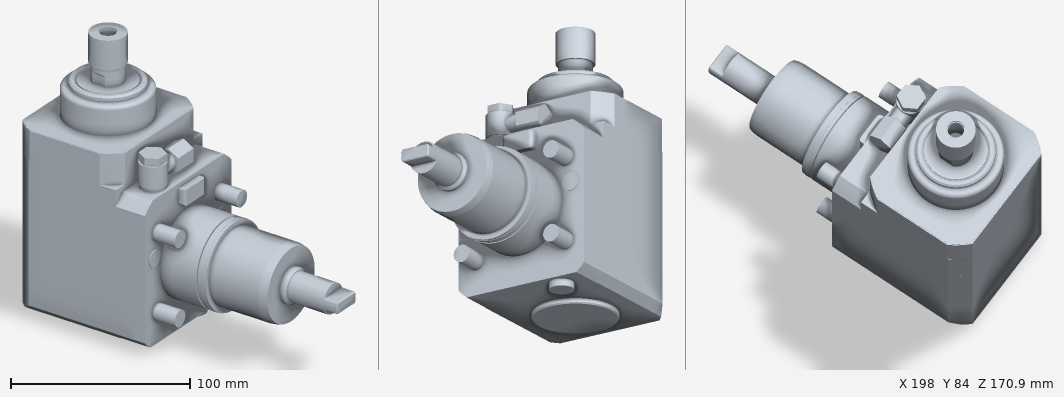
import cadquery as cq
import math


overall_length = 198.0

body_front = 35.0
body_end = 54.8
body_half_width = 42.0
body_top = 70.0
body_bottom = -45.0
ledge_top = 46.7
ledge_round_radius = 58.0
corner_round_radius = 48.3
corner_round_bottom = 50.3
corner_cut_x = 10.3
corner_cut_y = 8.7
bottom_chamfer = 5.0
pad_height = 0.2
pad_inset = 0.5

nose_radius = 27.0
nose_top = 88.5
nose_fillet = 2.4
collar_radius = 22.2
collar_neck_radius = 21.0
collar_bottom = 89.3
collar_top = 92.3
collar_chamfer = 1.0
recess_radius = 18.2
recess_depth = 1.2
recess_chamfer = 1.0
seal_radius = 17.6
seal_height = 0.5
neck_radius = 9.7
neck_top = 103.2
flat_offset = 8.7
flat_top = 98.2
flat_runout_height = 1.2
head_radius = 11.0
head_top = 121.8
bore_radius = 4.5
bore_mouth_radius = 5.1
bore_mouth_depth = 1.0
bore_depth = 15.8
cover_radius = 24.5
cover_bottom = -48.0
cover_chamfer = 0.8

pilot_radius = 27.5
pilot_end = 79.4
ring_radius = 27.3
groove_radius = 26.1
groove_end = 80.2
ring_middle_start = 82.2
ring_middle_end = 84.2
ring_end = 86.0
shank_radius = 24.0
shank_round_start = 119.5
shank_end = 125.0
shank_end_radius = 23.0
hub_radius = 11.0
hub_end = 128.7
hub_chamfer = 1.4
drive_radius = 9.3
drive_end = 153.6
tang_end = overall_length - body_front
tang_half_height = 3.8
tang_side_chamfer = 1.2
tang_end_chamfer = 0.5

screw_radius = 5.1
screw_y = 29.9
screw_z = 25.0
screw_end = 70.3
key_end = 59.5
key_half_width = 9.9
key_bottom = 33.7
key_top = 43.8
key_corner_radius = 2.0
key_bottom_chamfer = 1.0
plug_radius = 5.3
plug_y = 32.9
plug_z = 9.7
plug_height = 0.5

fitting_x = (body_front + body_end) / 2
fitting_y = 20.4
fitting_radius = 8.3
fitting_base_radius = 7.7
fitting_base_top = 49.1
fitting_hex_bottom = 62.8
fitting_top = 67.7
hex_across_flats = 14.0
stem_radius = 5.5
side_hex_z = (fitting_base_top + fitting_hex_bottom) / 2
side_hex_start = -5.7
side_hex_end = 9.3
bottom_plug_radius = 7.1
bottom_plug_bottom = -49.1

pin_hole_diameter = 0.5
pin_hole_depth = 1.0


def box(x0, x1, y0, y1, z0, z1):
    """Box between two opposite corners."""
    return cq.Workplane("XY").box(x1 - x0, y1 - y0, z1 - z0, centered=False).translate((x0, y0, z0))


def upright(radius, z0, z1, x=0, y=0):
    """Cylinder along Z."""
    return cq.Workplane("XY", origin=(x, y, z0)).circle(radius).extrude(z1 - z0)


def lying(radius, x0, x1, y=0, z=0):
    """Cylinder along X."""
    return cq.Workplane("YZ", origin=(x0, y, z)).circle(radius).extrude(x1 - x0)


def tall_block():
    width = body_half_width
    lower = box(-body_front, body_front, -width, width, body_bottom, corner_round_bottom)
    lower = lower.faces("<Z").edges("|X").chamfer(bottom_chamfer)
    slanted_corners = (
        cq.Workplane("XY", origin=(0, 0, body_bottom))
        .moveTo(body_front, -width)
        .lineTo(body_front, width)
        .lineTo(-body_front + corner_cut_x, width)
        .lineTo(-body_front, width - corner_cut_y)
        .lineTo(-body_front, -width + corner_cut_y)
        .lineTo(-body_front + corner_cut_x, -width)
        .close()
        .extrude(corner_round_bottom - body_bottom)
    )
    upper = box(-body_front, body_front, -width, width, corner_round_bottom, body_top - pad_height)
    upper = upper.intersect(upright(corner_round_radius, corner_round_bottom, body_top))
    upper = upper.faces(">Z").wires().toPending().offset2D(-pad_inset).extrude(pad_height)
    return lower.intersect(slanted_corners).union(upper)


def ledge():
    section = box(body_front, body_end, -body_half_width, body_half_width, body_bottom, ledge_top)
    return section.intersect(lying(ledge_round_radius, body_front, body_end))


def spindle():
    nose = upright(nose_radius, body_top, nose_top).faces(">Z").edges().fillet(nose_fillet)
    collar = upright(collar_radius, collar_bottom, collar_top)
    collar = collar.cut(upright(recess_radius, collar_top - recess_depth, collar_top))
    rims = collar.faces(">Z").edges()
    collar = rims.edges(cq.selectors.RadiusNthSelector(1)).chamfer(collar_chamfer)
    collar = collar.faces(">Z").edges(cq.selectors.RadiusNthSelector(0)).chamfer(recess_chamfer)
    collar = collar.union(upright(collar_neck_radius, nose_top, collar_bottom))
    seal_bottom = collar_top - recess_depth
    collar = collar.union(upright(seal_radius, seal_bottom, seal_bottom + seal_height))
    neck = upright(neck_radius, nose_top, neck_top)
    flat_cutter = (
        cq.Workplane("YZ")
        .moveTo(flat_offset, nose_top)
        .lineTo(neck_radius, nose_top)
        .lineTo(neck_radius, flat_top + flat_runout_height)
        .lineTo(flat_offset, flat_top)
        .close()
        .extrude(neck_radius, both=True)
    )
    neck = neck.cut(flat_cutter).cut(flat_cutter.mirror("XZ"))
    head = upright(head_radius, neck_top, head_top)
    head = head.cut(upright(bore_radius, head_top - bore_depth, head_top))
    head = head.cut(upright(bore_mouth_radius, head_top - bore_mouth_depth, head_top))
    return nose.union(collar).union(neck).union(head)


def bottom_cover():
    return upright(cover_radius, cover_bottom, body_bottom).faces("<Z").edges().chamfer(cover_chamfer)


def shank():
    outline = (
        cq.Workplane("XZ")
        .moveTo(body_end, 0)
        .lineTo(body_end, pilot_radius)
        .lineTo(pilot_end, pilot_radius)
        .lineTo(pilot_end, groove_radius)
        .lineTo(groove_end, groove_radius)
        .lineTo(groove_end, ring_radius)
        .lineTo(ring_middle_start, ring_radius)
        .lineTo(ring_middle_start, pilot_radius)
        .lineTo(ring_middle_end, pilot_radius)
        .lineTo(ring_middle_end, ring_radius)
        .lineTo(ring_end, ring_radius)
        .lineTo(ring_end, shank_radius)
        .lineTo(shank_round_start, shank_radius)
        .tangentArcPoint((shank_end, shank_end_radius), relative=False)
        .lineTo(shank_end, hub_radius)
        .lineTo(hub_end - hub_chamfer, hub_radius)
        .lineTo(hub_end, hub_radius - hub_chamfer)
        .lineTo(hub_end, drive_radius)
        .lineTo(tang_end - tang_end_chamfer, drive_radius)
        .lineTo(tang_end, drive_radius - tang_end_chamfer)
        .lineTo(tang_end, 0)
        .close()
    )
    turned = outline.revolve(360, (0, 0, 0), (1, 0, 0))
    tang_limits = box(drive_end, tang_end, -drive_radius, drive_radius, -tang_half_height, tang_half_height)
    tang_limits = tang_limits.edges("|X").chamfer(tang_side_chamfer)
    tang_limits = tang_limits.faces(">X").edges("<Z or >Z").chamfer(tang_end_chamfer)
    limits = lying(pilot_radius, body_end, drive_end).union(tang_limits)
    return turned.intersect(limits)


def mating_face_parts():
    key = box(body_end, key_end, -key_half_width, key_half_width, key_bottom, key_top)
    key = key.faces("<Z").edges("|X").chamfer(key_bottom_chamfer)
    parts = key.faces(">X").edges("|Z").fillet(key_corner_radius)
    for side in (-1, 1):
        parts = parts.union(lying(plug_radius, body_end, body_end + plug_height, side * plug_y, plug_z))
        for z in (-screw_z, screw_z):
            parts = parts.union(lying(screw_radius, body_end, screw_end, side * screw_y, z))
    return parts


def coolant_fitting():
    hex_corner_diameter = hex_across_flats / math.cos(math.pi / 6)
    base = upright(fitting_base_radius, ledge_top, fitting_base_top, fitting_x, -fitting_y)
    barrel = upright(fitting_radius, fitting_base_top, fitting_hex_bottom, fitting_x, -fitting_y)
    cap = (
        cq.Workplane("XY", origin=(fitting_x, -fitting_y, fitting_hex_bottom))
        .transformed(rotate=(0, 0, 90))
        .polygon(6, hex_corner_diameter)
        .extrude(fitting_top - fitting_hex_bottom)
    )
    stem_plane = cq.Workplane("XZ", origin=(fitting_x, side_hex_start, side_hex_z))
    stem = stem_plane.circle(stem_radius).extrude(fitting_y + side_hex_start)
    side_hex = (
        stem_plane.transformed(rotate=(0, 0, 90))
        .polygon(6, hex_corner_diameter)
        .extrude(side_hex_start - side_hex_end)
    )
    bottom_plug = upright(bottom_plug_radius, bottom_plug_bottom, body_bottom, fitting_x, fitting_y)
    return base.union(barrel).union(cap).union(stem).union(side_hex).union(bottom_plug)


def pin_holes():
    """Four small holes drilled square into the slanted corners."""
    x = -body_front + corner_cut_x / 2
    y = body_half_width - corner_cut_y / 2
    holes = cq.Workplane("XY")
    for side in (-1, 1):
        inward = cq.Vector(corner_cut_y, -side * corner_cut_x, 0)
        for z in (-screw_z, screw_z):
            hole = cq.Solid.makeCylinder(
                pin_hole_diameter / 2, pin_hole_depth, cq.Vector(x, side * y, z), inward
            )
            holes = holes.add(hole)
    return holes.combine()


result = tall_block().union(ledge()).union(spindle()).union(bottom_cover())
result = result.union(shank()).union(mating_face_parts()).union(coolant_fitting())
result = result.cut(pin_holes()).solids()